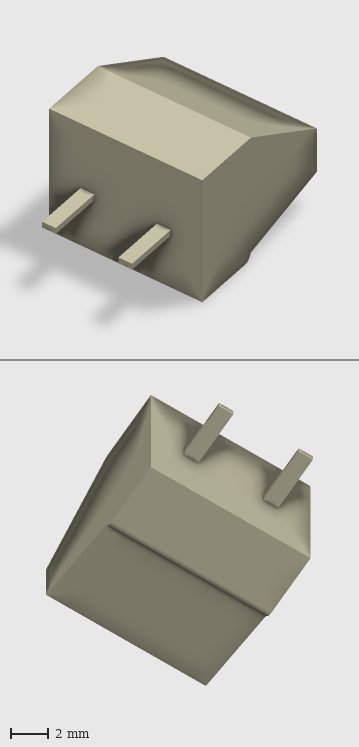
import cadquery as cq
import math

overall_length = 13.9

housing_width = 10.16
housing_depth = 10.4
housing_height = 8.5
flat_depth = 4.42
back_bottom = 2.1
back_top = 5.13
step_height = 0.5
step_angle = 60
step_radius = 0.4

pin_length = overall_length - housing_depth
pin_width = 0.9
pin_thickness = 0.4
pin_pitch = 5.06
pin_height = 3.81


def make_housing():
    step_run = step_height / math.tan(math.radians(step_angle))
    profile = (
        cq.Workplane("YZ")
        .moveTo(0, 0)
        .lineTo(0, housing_height)
        .lineTo(flat_depth, housing_height)
        .lineTo(housing_depth, back_top)
        .lineTo(housing_depth, back_bottom)
        .lineTo(flat_depth, step_height)
        .lineTo(flat_depth - step_run, 0)
        .close()
    )
    block = profile.extrude(housing_width / 2, both=True)
    foot_of_step = cq.selectors.NearestToPointSelector((0, flat_depth - step_run, 0))
    return block.edges("|X").edges(foot_of_step).fillet(step_radius)


def make_pin(x):
    return (
        cq.Workplane("XY")
        .box(pin_width, pin_length, pin_thickness)
        .translate((x, -pin_length / 2, pin_height))
    )


housing = make_housing()
pins = [make_pin(side * pin_pitch / 2) for side in (-1, 1)]

result = cq.Compound.makeCompound([housing.val(), *[pin.val() for pin in pins]])